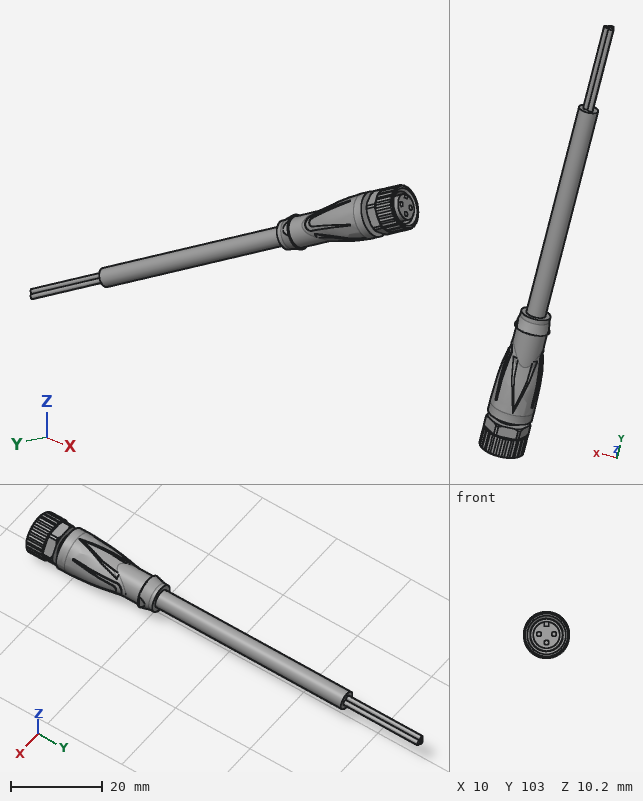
import cadquery as cq
import math

TOTAL_LENGTH = 103.0

NUT_FRONT_Y = 0.2
HEX_FRONT_Y = 4.8
NUT_REAR_Y = 7.3
GRIP_FRONT_Y = 8.5
GRIP_SHOULDER_Y = 10.7
FLARE_REAR_Y = 26.2
COLLAR_FRONT_Y = 29.7
COLLAR_REAR_Y = 32.1
GRIP_REAR_Y = 33.2
JACKET_REAR_Y = 83.1

JACKET_RADIUS = 2.2
WIRE_RADIUS = 0.59
WIRE_COUNT = 3

SLEEVE_RADIUS = 3.5
TAIL_RADIUS = 3.3
COLLAR_RADIUS = 3.9
COLLAR_LIP = 0.1
GRIP_HALF_WIDTH = 10.0 / 2
GRIP_HALF_HEIGHT = 10.2 / 2
FLARE_SECTIONS = [
    (GRIP_SHOULDER_Y, GRIP_HALF_WIDTH, GRIP_HALF_HEIGHT),
    (13.4, 4.9, 4.9),
    (16.5, 4.8, 4.5),
    (21.6, 4.3, 3.5),
    (23.7, 3.9, 3.3),
    (FLARE_REAR_Y, 3.5, 3.1),
]
GROOVE_DEPTH = 0.15
V_REAR_Y = 23.2
V_BEND_Y = 18.5
TEARDROP_END_Y = 12.4
OVAL_POINT_COUNT = 12

NUT_RADIUS = GRIP_HALF_WIDTH
HEX_ACROSS_FLATS = 9.0
NUT_CHAMFER = 0.3
THREAD_RADIUS = 3.6
THREAD_LEAD_IN = 0.6
NUT_WALL = 1.9
TOOTH_COUNT = 24
TOOTH_DEPTH = 0.2

CARRIER_RADIUS = 2.9
CONTACT_RADIUS = 0.5
CONTACT_DEPTH = 5.2
CONTACT_PLACES = [(-1.6, 0.2), (1.6, 0.2), (0, -1.6)]
KEYWAY_WIDTH = 0.9
KEYWAY_FLOOR_Z = 2.0
SEAL_OUTER_RADIUS = 3.5
SEAL_FRONT_Y = 3.6


def turned(profile):
    """Solid of revolution about Y from (radius, y) points."""
    return cq.Workplane("XY").polyline(profile).close().revolve(360, (0, 0), (0, 1))


def plane_at(y):
    """Workplane across the axis whose local axes are X and Z and whose normal is -Y."""
    return cq.Workplane("XZ", origin=(0, y, 0))


def rod(radius, y_start, y_end):
    return plane_at(y_end).circle(radius).extrude(y_end - y_start)



def make_wires():
    """Three touching wires in a triangle, two stacked on the -X side and one on the +X side."""
    pitch_radius = WIRE_RADIUS / math.sin(math.pi / WIRE_COUNT)
    wires = []
    for index in range(WIRE_COUNT):
        angle = 2 * math.pi * index / WIRE_COUNT
        x = pitch_radius * math.cos(angle)
        z = pitch_radius * math.sin(angle)
        wires.append(rod(WIRE_RADIUS, JACKET_REAR_Y, TOTAL_LENGTH).translate((x, 0, z)))
    return wires


def make_jacket():
    return rod(JACKET_RADIUS, GRIP_REAR_Y, JACKET_REAR_Y)



def oval(y, half_width, half_height):
    """Closed smooth curve through points of an ellipse, always starting on +X."""
    points = []
    for index in range(OVAL_POINT_COUNT):
        angle = 2 * math.pi * index / OVAL_POINT_COUNT
        points.append((half_width * math.cos(angle), half_height * math.sin(angle)))
    return plane_at(y).spline(points, periodic=True).close()


def make_flare(inset=0.0):
    """Flare that grows from a flat ellipse at the rear to the nearly round front."""
    sections = []
    for y, half_width, half_height in FLARE_SECTIONS:
        sections.append(oval(y, half_width - inset, half_height - inset).val())
    return cq.Workplane(cq.Solid.makeLoft(sections))


def v_prism(rear_half_width, bend_half_width, point_y):
    """Symmetric V outline, bent partway along, extruded through the grip along Z."""
    outline = [
        (-rear_half_width, V_REAR_Y),
        (-bend_half_width, V_BEND_Y),
        (0, point_y),
        (bend_half_width, V_BEND_Y),
        (rear_half_width, V_REAR_Y),
    ]
    return cq.Workplane("XY").polyline(outline).close().extrude(GRIP_HALF_HEIGHT, both=True)


def make_v_band():
    """V-shaped band for the grooves on the +Z and -Z sides."""
    outer = v_prism(rear_half_width=2.7, bend_half_width=2.0, point_y=11.1)
    inner = v_prism(rear_half_width=1.6, bend_half_width=1.4, point_y=11.9)
    return outer.cut(inner)


def teardrop_prism(nose_y, shoulder_y, shoulder_z, end_z):
    """Rounded-nose outline, opening toward the front, extruded through the grip along X."""
    return (
        cq.Workplane("YZ")
        .moveTo(TEARDROP_END_Y, -end_z)
        .lineTo(shoulder_y, -shoulder_z)
        .threePointArc((nose_y, 0), (shoulder_y, shoulder_z))
        .lineTo(TEARDROP_END_Y, end_z)
        .close()
        .extrude(GRIP_HALF_WIDTH, both=True)
    )


def make_teardrop_band():
    """Teardrop-shaped band for the grooves on the +X and -X sides."""
    outer = teardrop_prism(nose_y=25.1, shoulder_y=23.2, shoulder_z=1.8, end_z=2.9)
    inner = teardrop_prism(nose_y=23.8, shoulder_y=22.8, shoulder_z=1.0, end_z=2.7)
    return outer.cut(inner)


def make_collar():
    """Tail collar: a short tail, then a cone with a flat on each side in X."""
    collar = turned([
        (0, COLLAR_FRONT_Y),
        (COLLAR_RADIUS, COLLAR_FRONT_Y),
        (TAIL_RADIUS, COLLAR_REAR_Y),
        (TAIL_RADIUS, GRIP_REAR_Y),
        (0, GRIP_REAR_Y),
    ])
    flat_front_y = COLLAR_FRONT_Y + COLLAR_LIP
    flat_length = COLLAR_REAR_Y - flat_front_y
    cutter_thickness = COLLAR_RADIUS
    cutter_x = SLEEVE_RADIUS + cutter_thickness / 2
    for side in (-1, 1):
        cutter = (
            cq.Workplane("XY", origin=(side * cutter_x, flat_front_y, 0))
            .box(cutter_thickness, flat_length, 2 * COLLAR_RADIUS, centered=(True, False, True))
        )
        collar = collar.cut(cutter)
    return collar


def make_grip():
    """Oval front, grooved flare, round sleeve and tail collar joined into one body."""
    flare = make_flare()
    skin = flare.cut(make_flare(GROOVE_DEPTH))
    flare = flare.cut(skin.intersect(make_v_band()))
    flare = flare.cut(skin.intersect(make_teardrop_band()))
    front = oval(GRIP_SHOULDER_Y, GRIP_HALF_WIDTH, GRIP_HALF_HEIGHT).extrude(GRIP_SHOULDER_Y - GRIP_FRONT_Y)
    sleeve = rod(SLEEVE_RADIUS, GRIP_SHOULDER_Y, COLLAR_FRONT_Y)
    return front.union(flare).union(sleeve).union(make_collar())



def make_knurled_band():
    """Band of pointed teeth with beveled ends."""
    points = []
    for index in range(2 * TOOTH_COUNT):
        radius = NUT_RADIUS - TOOTH_DEPTH * (index % 2)
        angle = math.pi * index / TOOTH_COUNT
        points.append((radius * math.cos(angle), radius * math.sin(angle)))
    teeth = plane_at(HEX_FRONT_Y).polyline(points).close().extrude(HEX_FRONT_Y - NUT_FRONT_Y)
    blank = rod(NUT_RADIUS, NUT_FRONT_Y, HEX_FRONT_Y).faces("<Y or >Y").chamfer(NUT_CHAMFER)
    return teeth.intersect(blank)


def make_nut():
    """Knurled front and hexagonal rear around a stepped bore."""
    hexagon = (
        plane_at(NUT_REAR_Y)
        .polygon(6, HEX_ACROSS_FLATS / math.cos(math.pi / 6))
        .extrude(NUT_REAR_Y - HEX_FRONT_Y)
    )
    hex_limit = rod(NUT_RADIUS, HEX_FRONT_Y, NUT_REAR_Y).faces(">Y").chamfer(NUT_CHAMFER)
    nut = make_knurled_band().union(hexagon.intersect(hex_limit))
    bore_end_y = NUT_REAR_Y - NUT_WALL
    bore = turned([
        (0, NUT_FRONT_Y),
        (THREAD_RADIUS + THREAD_LEAD_IN, NUT_FRONT_Y),
        (THREAD_RADIUS, NUT_FRONT_Y + THREAD_LEAD_IN),
        (THREAD_RADIUS, bore_end_y),
        (CARRIER_RADIUS, bore_end_y),
        (CARRIER_RADIUS, NUT_REAR_Y),
        (0, NUT_REAR_Y),
    ])
    return nut.cut(bore)


def make_carrier():
    """Plug core with three contact holes and a keyway on its +Z side."""
    carrier = rod(CARRIER_RADIUS, 0, GRIP_FRONT_Y)
    contacts = (
        plane_at(CONTACT_DEPTH)
        .pushPoints(CONTACT_PLACES)
        .circle(CONTACT_RADIUS)
        .extrude(CONTACT_DEPTH)
    )
    keyway = (
        cq.Workplane("XY", origin=(0, 0, KEYWAY_FLOOR_Z))
        .box(KEYWAY_WIDTH, SEAL_FRONT_Y, CARRIER_RADIUS, centered=(True, False, False))
    )
    return carrier.cut(contacts).cut(keyway)


def make_seal():
    """Round-section ring that fits around the carrier inside the nut."""
    section_radius = (SEAL_OUTER_RADIUS - CARRIER_RADIUS) / 2
    ring_radius = CARRIER_RADIUS + section_radius
    return (
        cq.Workplane("XY")
        .moveTo(ring_radius, SEAL_FRONT_Y + section_radius)
        .circle(section_radius)
        .revolve(360, (0, 0), (0, 1))
    )


wires = make_wires()
jacket = make_jacket()
grip = make_grip()
nut = make_nut()
carrier = make_carrier()
seal = make_seal()

result = cq.Compound.makeCompound([
    *[wire.val() for wire in wires],
    jacket.val(),
    grip.val(),
    nut.val(),
    carrier.val(),
    seal.val(),
])